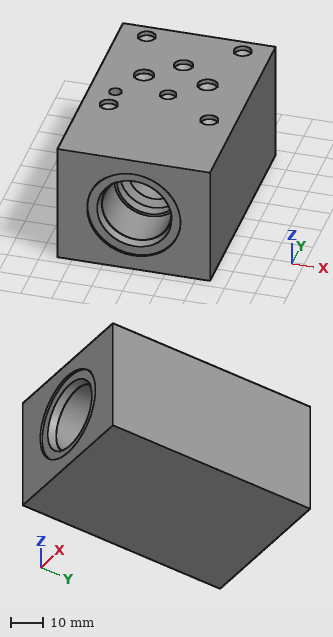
import cadquery as cq
import math

WIDTH = 49.25
LENGTH = 74.4
HEIGHT = 40.1

DRILL_POINT_ANGLE = 118.0
POINT_SLOPE = 1 / math.tan(math.radians(DRILL_POINT_ANGLE / 2))

PORT_Z = HEIGHT / 2
SPOTFACE_DIA = 30.1
SPOTFACE_DEPTH = 0.75
SEAT_MOUTH_DIA = 24.0
SEAT_INNER_DIA = 22.55
SEAT_DEPTH = 3.35
THREAD_DIA = 22.25
THREAD_DEPTH = 17.1
TAP_DRILL_DIA = 20.6
TAP_DRILL_DEPTH = 20.8
CAVITY_DIA = 15.9
CAVITY_DEPTH = 37.2
PILOT_DIA = 12.7
PILOT_DEPTH = 48.35

BOLT_DIA = 5.6
BOLT_DEPTH = 1.5
REAR_BOLT_X = 15.5
FRONT_BOLT_X = 16.2
REAR_BOLT_Y = 32.0
FRONT_BOLT_Y = REAR_BOLT_Y - 40.5
PIN_DIA = 3.95
PIN_Y = -1.0
PIN_DEPTH = 4.0
SIDE_PORT_DIA = 6.3
SIDE_PORT_X = 10.3
SIDE_PORT_Y = 10.6
REAR_PORT_DIA = 5.95
REAR_PORT_Y = 19.3
FRONT_PORT_DIA = 5.1
FRONT_PORT_Y = 1.85
OIL_PORT_DEPTH = 1.5


def point_height(large_dia, small_dia=0.0):
    """Axial length of a drill-point cone between two diameters."""
    return (large_dia - small_dia) / 2 * POINT_SLOPE


def stepped_port():
    """Solid of revolution that fills the whole port, axis along Y."""
    tap_cone_end = TAP_DRILL_DEPTH + point_height(TAP_DRILL_DIA, CAVITY_DIA)
    cavity_cone_end = CAVITY_DEPTH + point_height(CAVITY_DIA, PILOT_DIA)
    steps = [
        (SPOTFACE_DIA, 0),
        (SPOTFACE_DIA, SPOTFACE_DEPTH),
        (SEAT_MOUTH_DIA, SPOTFACE_DEPTH),
        (SEAT_INNER_DIA, SEAT_DEPTH),
        (THREAD_DIA, SEAT_DEPTH),
        (THREAD_DIA, THREAD_DEPTH),
        (TAP_DRILL_DIA, THREAD_DEPTH),
        (TAP_DRILL_DIA, TAP_DRILL_DEPTH),
        (CAVITY_DIA, tap_cone_end),
        (CAVITY_DIA, CAVITY_DEPTH),
        (PILOT_DIA, cavity_cone_end),
        (PILOT_DIA, PILOT_DEPTH),
        (0, PILOT_DEPTH + point_height(PILOT_DIA)),
    ]
    profile = [(0, 0)] + [(dia / 2, depth) for dia, depth in steps]
    port = cq.Workplane("XY").polyline(profile).close().revolve(360, (0, 0), (0, 1))
    return port.translate((0, -LENGTH / 2, PORT_Z))


def drilled_hole(x, y, dia, depth):
    """Blind hole with a drill point, going down from the top face."""
    radius = dia / 2
    profile = [(0, 0), (radius, 0), (radius, -depth), (0, -depth - point_height(dia))]
    hole = cq.Workplane("XZ").polyline(profile).close().revolve(360, (0, 0), (0, 1))
    return hole.translate((x, y, HEIGHT))


result = cq.Workplane("XY").box(WIDTH, LENGTH, HEIGHT, centered=(True, True, False))
result = result.cut(stepped_port())

for side in (-1, 1):
    result = result.cut(drilled_hole(side * REAR_BOLT_X, REAR_BOLT_Y, BOLT_DIA, BOLT_DEPTH))
    result = result.cut(drilled_hole(side * FRONT_BOLT_X, FRONT_BOLT_Y, BOLT_DIA, BOLT_DEPTH))
    result = result.cut(drilled_hole(side * SIDE_PORT_X, SIDE_PORT_Y, SIDE_PORT_DIA, OIL_PORT_DEPTH))

result = result.cut(drilled_hole(0, REAR_PORT_Y, REAR_PORT_DIA, OIL_PORT_DEPTH))
result = result.cut(drilled_hole(0, FRONT_PORT_Y, FRONT_PORT_DIA, OIL_PORT_DEPTH))
result = result.cut(drilled_hole(-FRONT_BOLT_X, PIN_Y, PIN_DIA, PIN_DEPTH))